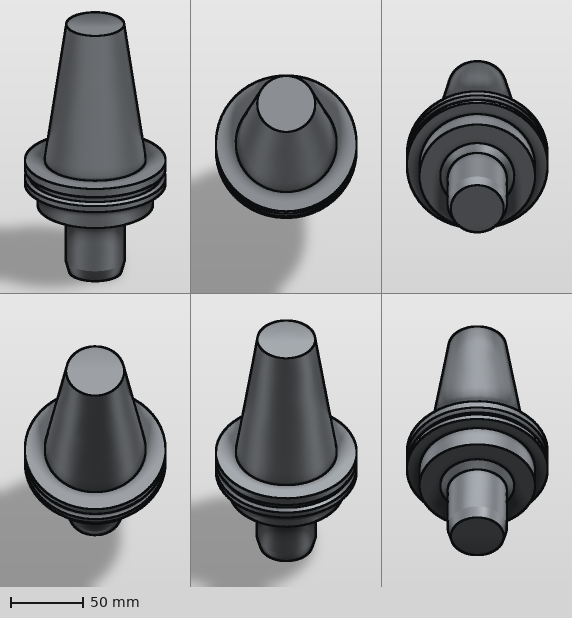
import cadquery as cq
import math

taper_top_diameter = 40.2
taper_base_diameter = 69.8
flange_diameter = 97.5
groove_diameter = 91.3
collar_diameter = 80.0
shank_diameter = 41.0
shank_tip_diameter = 36.6

tip_cone_top = 8.4
shank_top = 45.0
collar_bottom = 50.0
flange_bottom = 66.1
groove_bottom = 70.5
groove_top = 77.5
flange_top = 83.7
taper_base = 85.2
total_height = 186.8

groove_wall_angle = 30.0
groove_depth = (flange_diameter - groove_diameter) / 2
groove_wall_rise = groove_depth * math.tan(math.radians(groove_wall_angle))
neck_height = collar_bottom - shank_top
neck_diameter = shank_diameter + 2 * neck_height


def frustum(bottom, bottom_diameter, top, top_diameter):
    """Solid of revolution about Z with straight sides between two heights."""
    return (
        cq.Workplane("XZ")
        .moveTo(0, bottom)
        .lineTo(bottom_diameter / 2, bottom)
        .lineTo(top_diameter / 2, top)
        .lineTo(0, top)
        .close()
        .revolve(360, (0, 0, 0), (0, 1, 0))
    )


def cylinder(bottom, top, diameter):
    return frustum(bottom, diameter, top, diameter)


def grooved_flange():
    """Flange disc with a trapezoidal groove around its rim."""
    rim = flange_diameter / 2
    floor = groove_diameter / 2
    return (
        cq.Workplane("XZ")
        .moveTo(0, flange_bottom)
        .lineTo(rim, flange_bottom)
        .lineTo(rim, groove_bottom)
        .lineTo(floor, groove_bottom + groove_wall_rise)
        .lineTo(floor, groove_top - groove_wall_rise)
        .lineTo(rim, groove_top)
        .lineTo(rim, flange_top)
        .lineTo(0, flange_top)
        .close()
        .revolve(360, (0, 0, 0), (0, 1, 0))
    )


tip = frustum(0, shank_tip_diameter, tip_cone_top, shank_diameter)
shank = cylinder(tip_cone_top, shank_top, shank_diameter)
neck = frustum(shank_top, shank_diameter, collar_bottom, neck_diameter)

collar = cylinder(collar_bottom, flange_bottom, collar_diameter)

seat = cylinder(flange_top, taper_base, taper_base_diameter)
taper = frustum(taper_base, taper_base_diameter, total_height, taper_top_diameter)

result = tip.union(shank).union(neck).union(collar).union(grooved_flange()).union(seat).union(taper)